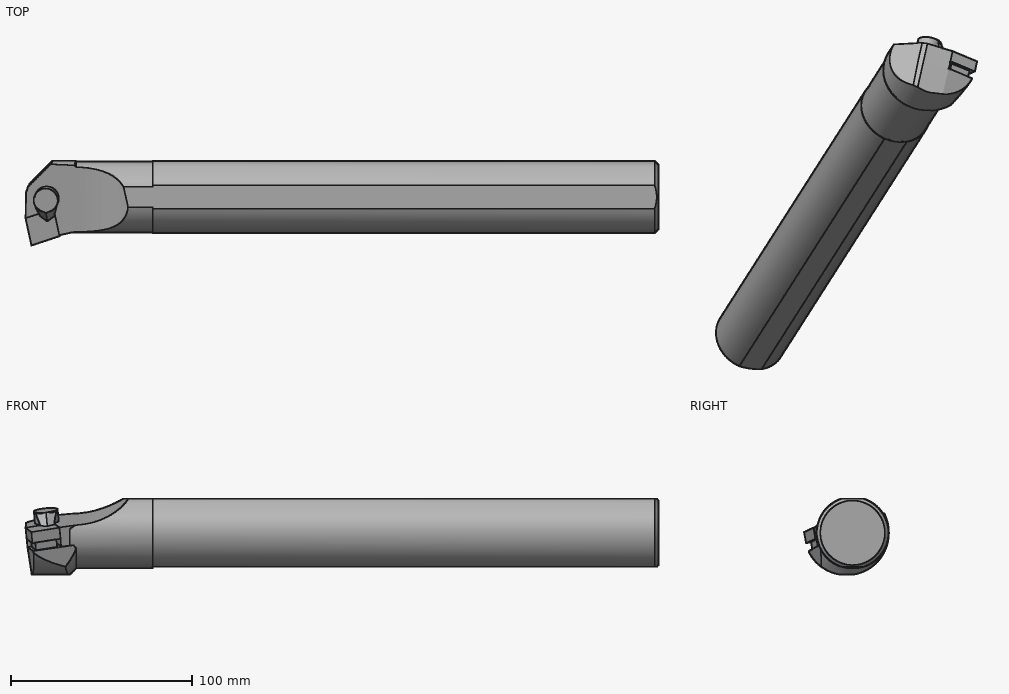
import cadquery as cq
import math

overall_length = 349.8
shank_radius = 20.0
flat_height = 19.0
end_chamfer = 2.0

neck_start = 24.5
neck_end = 70.3
neck_step = 0.2
neck_radius = shank_radius - neck_step

head_length = 28.0
head_radius = 23.5
head_offset_y = -3.32
head_bottom = -23.0
upper_side_inset = 2.5
lower_side_inset = 0.7
side_end = (42.0, -16.5)
side_split_depth = 11.0
relief_angle = 3.0
block_depth = 33.2

face_height = 5.0
rise_along_x = 0.1
rise_along_y = 0.18
run_out_start = 30.5
run_out_radius = 45.5
run_out_sweep = math.radians(60)
cutter_half_width = 52.5
cutter_height = 70.0

insert_tip = (2.8, -27.3)
insert_front = (-0.2, -12.0)
insert_rear = (18.5, -22.0)
insert_inner = (
    insert_front[0] + insert_rear[0] - insert_tip[0],
    insert_front[1] + insert_rear[1] - insert_tip[1],
)
insert_corners = [insert_tip, insert_front, insert_inner, insert_rear]
insert_thickness = 6.3
shim_inset = 2.0

clamp_x = 12.0
clamp_y = -0.7
clamp_radius = 6.5
clamp_height = 6.5
nose_top_half_width = 6.0
nose_top_shoulder = 3.5
nose_top_reach = 7.5
nose_foot_half_width = 4.0
nose_foot_shoulder = 10.0
nose_foot_reach = 13.0

tilted_face = cq.Plane(
    origin=(0, 0, face_height),
    xDir=(1, 0, rise_along_x),
    normal=(-rise_along_x, -rise_along_y, 1),
)


def x_cylinder(radius, start, end, center_y=0.0):
    return (
        cq.Workplane("YZ", origin=(start, 0, 0))
        .center(center_y, 0)
        .circle(radius)
        .extrude(end - start)
    )


def z_slab(bottom, top):
    size = 2 * overall_length
    return cq.Workplane("XY", origin=(0, 0, bottom)).rect(size, size).extrude(top - bottom)


def make_shank():
    shank = x_cylinder(shank_radius, neck_end, overall_length).faces(">X").chamfer(end_chamfer)
    return shank.intersect(z_slab(-flat_height, flat_height))


def make_neck():
    neck = x_cylinder(neck_radius, neck_start, neck_end)
    return neck.intersect(z_slab(-shank_radius, flat_height))


def make_rear_cone():
    """A 45 degree cone on the bar axis that narrows to the neck at the rear of the head."""
    cone_length = 2 * head_length
    return (
        cq.Workplane("XY")
        .moveTo(head_length, 0)
        .lineTo(head_length, neck_radius)
        .lineTo(head_length - cone_length, neck_radius + cone_length)
        .lineTo(head_length - cone_length, 0)
        .close()
        .revolve(360, (0, 0, 0), (1, 0, 0))
    )


def head_outline(side_inset):
    return [
        (insert_tip[0], insert_tip[1] + side_inset),
        insert_front,
        (0.5, 2.8),
        (1.5, 5.5),
        (16.0, 20.3),
        (16.0, 31.5),
        (side_end[0], 31.5),
        side_end,
    ]


def make_head():
    blank = x_cylinder(head_radius, -head_length, head_length, head_offset_y)
    blank = blank.intersect(make_rear_cone()).intersect(z_slab(head_bottom, flat_height))

    upper = (
        cq.Workplane(tilted_face)
        .polyline(head_outline(upper_side_inset))
        .close()
        .extrude(-side_split_depth)
    )
    lower = (
        cq.Workplane(tilted_face)
        .workplane(offset=-side_split_depth)
        .polyline(head_outline(lower_side_inset))
        .close()
        .extrude(side_split_depth - block_depth, taper=relief_angle)
    )
    return upper.union(lower).intersect(blank)


def insert_prism(depth):
    return cq.Workplane(tilted_face).polyline(insert_corners).close().extrude(-depth)


def make_shim():
    return (
        cq.Workplane(tilted_face)
        .workplane(offset=-insert_thickness)
        .polyline(insert_corners)
        .close()
        .offset2D(-shim_inset, "intersection")
        .extrude(insert_thickness - side_split_depth)
    )


def make_run_out_cutter():
    """Material above the tilted face, with an arc sweeping up out of it into the neck."""
    end_x = run_out_start + run_out_radius * math.sin(run_out_sweep)
    end_z = run_out_radius * (1 - math.cos(run_out_sweep))
    mid_x = run_out_start + run_out_radius * math.sin(run_out_sweep / 2)
    mid_z = run_out_radius * (1 - math.cos(run_out_sweep / 2))
    profile_plane = cq.Plane(
        origin=tilted_face.origin, xDir=tilted_face.xDir, normal=-tilted_face.yDir
    )
    return (
        cq.Workplane(profile_plane)
        .moveTo(-head_length, 0)
        .lineTo(run_out_start, 0)
        .threePointArc((mid_x, mid_z), (end_x, end_z))
        .lineTo(end_x, cutter_height)
        .lineTo(-head_length, cutter_height)
        .close()
        .extrude(cutter_half_width, both=True)
    )


def nose_outline(half_width, shoulder, reach):
    return [
        (half_width, 0),
        (half_width, -shoulder),
        (0, -reach),
        (-half_width, -shoulder),
        (-half_width, 0),
    ]


def make_clamp():
    base = cq.Workplane(tilted_face).center(clamp_x, clamp_y)
    round_head = base.circle(clamp_radius).extrude(clamp_height)
    nose_foot = nose_outline(nose_foot_half_width, nose_foot_shoulder, nose_foot_reach)
    nose_top = nose_outline(nose_top_half_width, nose_top_shoulder, nose_top_reach)
    nose = (
        base.polyline(nose_foot)
        .close()
        .workplane(offset=clamp_height)
        .polyline(nose_top)
        .close()
        .loft(ruled=True)
    )
    return round_head.union(nose)


def make_holder():
    holder = make_shank().union(make_neck()).union(make_head())
    holder = holder.cut(make_run_out_cutter())
    holder = holder.cut(insert_prism(side_split_depth))
    return holder.union(make_shim()).union(make_clamp())


holder = make_holder()
cutting_insert = insert_prism(insert_thickness)

result = cq.Compound.makeCompound([holder.val(), cutting_insert.val()])